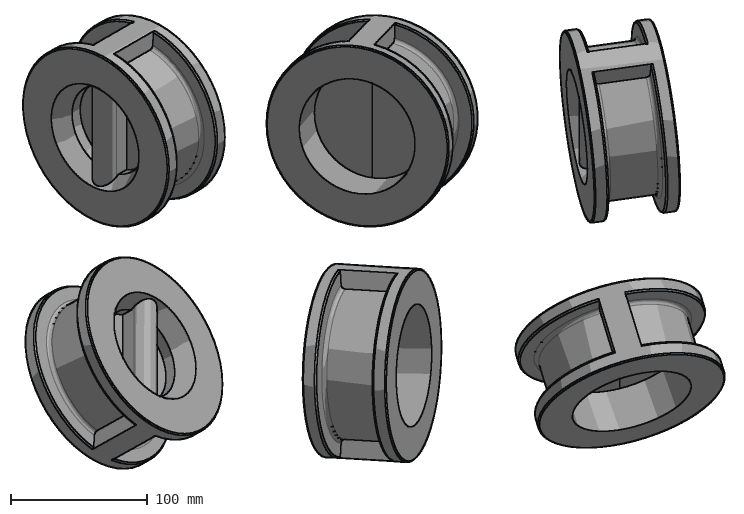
import cadquery as cq
import math


body_dia = 142
body_length = 64
flange_thickness = 9.4
outer_chamfer = 1
inner_chamfer_radial = 1
inner_chamfer_axial = 1.4
waist_dia = 114
waist_fillet = 3
flange_draft_drop = 0.8

inlet_dia = 85
throat_dia = 70
inlet_taper_depth = 14.5
throat_length = 9
outlet_dia = 90

bar_width = 20
bar_setback = 2
plate_thickness = 8

body_radius = body_dia / 2
waist_radius = waist_dia / 2
inlet_face_y = -body_length / 2
outlet_face_y = body_length / 2
flange_edge_y = outlet_face_y - flange_thickness
flange_rim_radius = body_radius - inner_chamfer_radial
flange_rim_y = flange_edge_y - inner_chamfer_axial
flange_root_y = flange_rim_y - flange_draft_drop
throat_start_y = inlet_face_y + inlet_taper_depth
seat_y = throat_start_y + throat_length
bar_nose_y = inlet_face_y + bar_setback
bar_nose_center_y = bar_nose_y + bar_width / 2


def revolve_about_flow_axis(outline):
    """Revolve a closed outline, drawn with X as radius, about the Y axis."""
    return outline.close().revolve(360, (0, 0, 0), (0, 1, 0))


def cylinder_along_flow(diameter, start_y, end_y):
    """Cylinder about the Y axis from start_y to end_y."""
    length = end_y - start_y
    return cq.Workplane("XZ", origin=(0, start_y, 0)).circle(diameter / 2).extrude(-length)


def box_along_flow(width, height, start_y, end_y):
    """Box centred on the Y axis from start_y to end_y."""
    return cq.Workplane("XZ", origin=(0, start_y, 0)).rect(width, height).extrude(start_y - end_y)


def make_spool():
    """Solid body with two flanges, a narrower waist and rounded corners at the waist."""
    draft_angle = math.atan2(flange_draft_drop, flange_rim_radius - waist_radius)
    fillet_center_radius = waist_radius + waist_fillet
    face_y_at_center = flange_root_y + waist_fillet * math.tan(draft_angle)
    fillet_center_y = face_y_at_center - waist_fillet / math.cos(draft_angle)
    face_angle = math.pi / 2 + draft_angle
    middle_angle = (face_angle + math.pi) / 2

    def fillet_point(angle, side):
        """Point of the waist fillet; side is +1 at the outlet and -1 at the inlet."""
        radius = fillet_center_radius + waist_fillet * math.cos(angle)
        return radius, side * (fillet_center_y + waist_fillet * math.sin(angle))

    outline = (
        cq.Workplane("XY")
        .moveTo(0, inlet_face_y)
        .lineTo(body_radius - outer_chamfer, inlet_face_y)
        .lineTo(body_radius, inlet_face_y + outer_chamfer)
        .lineTo(body_radius, -flange_edge_y)
        .lineTo(flange_rim_radius, -flange_rim_y)
        .lineTo(*fillet_point(face_angle, -1))
        .threePointArc(fillet_point(middle_angle, -1), fillet_point(math.pi, -1))
        .lineTo(*fillet_point(math.pi, 1))
        .threePointArc(fillet_point(middle_angle, 1), fillet_point(face_angle, 1))
        .lineTo(flange_rim_radius, flange_rim_y)
        .lineTo(body_radius, flange_edge_y)
        .lineTo(body_radius, outlet_face_y - outer_chamfer)
        .lineTo(body_radius - outer_chamfer, outlet_face_y)
        .lineTo(0, outlet_face_y)
    )
    return revolve_about_flow_axis(outline)


def make_ribs():
    """Ribs above and below the waist, flush with the flange rims and in line with the bar."""
    slab = box_along_flow(bar_width, body_dia, -flange_edge_y, flange_edge_y)
    return slab.intersect(cylinder_along_flow(body_dia, -flange_edge_y, flange_edge_y))


def make_bore():
    """Flow passage: tapered inlet, straight throat, then a wider outlet behind the plate seat."""
    outline = (
        cq.Workplane("XY")
        .moveTo(0, inlet_face_y)
        .lineTo(inlet_dia / 2, inlet_face_y)
        .lineTo(throat_dia / 2, throat_start_y)
        .lineTo(throat_dia / 2, seat_y)
        .lineTo(outlet_dia / 2, seat_y)
        .lineTo(outlet_dia / 2, outlet_face_y)
        .lineTo(0, outlet_face_y)
    )
    return revolve_about_flow_axis(outline)


def make_bar():
    """Upright bar across the passage, with a round nose at the inlet and a flat back at the seat."""
    half_width = bar_width / 2
    bar_height = outlet_dia
    return (
        cq.Workplane("XY", origin=(0, 0, -bar_height / 2))
        .moveTo(-half_width, seat_y)
        .lineTo(-half_width, bar_nose_center_y)
        .threePointArc((0, bar_nose_y), (half_width, bar_nose_center_y))
        .lineTo(half_width, seat_y)
        .close()
        .extrude(bar_height)
    )


def make_housing():
    """Ribbed spool with the flow passage cut through and the bar left standing across it."""
    passage = make_bore().cut(make_bar())
    return make_spool().union(make_ribs()).cut(passage)


def make_plate(side):
    """Half-disc flap resting on the seat; side is -1 for the -X half and +1 for the +X half."""
    disc = cylinder_along_flow(outlet_dia, seat_y, seat_y + plate_thickness)
    half_space = box_along_flow(outlet_dia, outlet_dia, seat_y, seat_y + plate_thickness)
    return disc.intersect(half_space.translate((side * outlet_dia / 2, 0, 0)))


housing = make_housing()
plates = [make_plate(side) for side in (-1, 1)]

result = cq.Compound.makeCompound([housing.val(), *[plate.val() for plate in plates]])